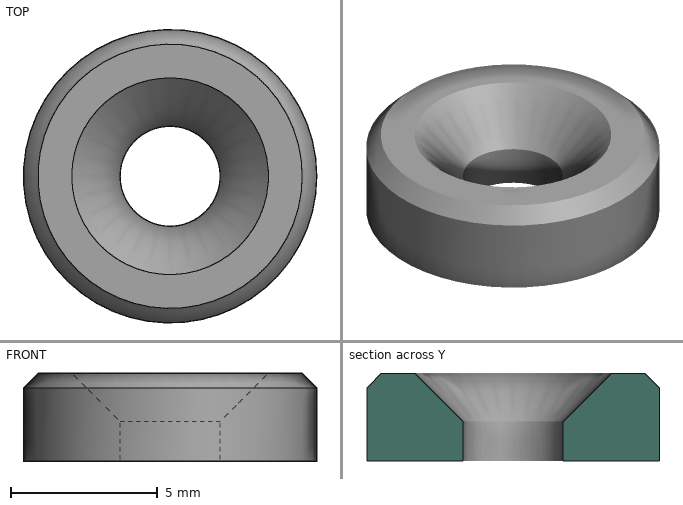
import cadquery as cq

outer_diameter = 10.0
height = 3.0
rim_chamfer = 0.5
bore_diameter = 3.4
countersink_diameter = 6.7
countersink_angle = 90.0

body = (
    cq.Workplane("XY")
    .circle(outer_diameter / 2)
    .extrude(height)
    .faces(">Z")
    .edges()
    .chamfer(rim_chamfer)
)

result = (
    body.faces(">Z")
    .workplane()
    .cskHole(bore_diameter, countersink_diameter, countersink_angle)
)